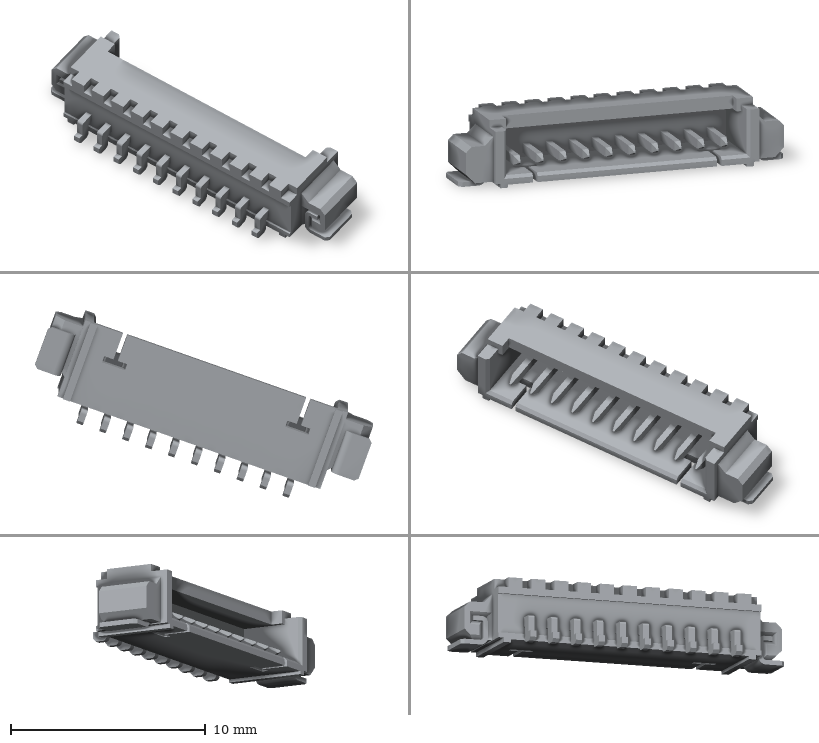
import cadquery as cq


half_length = 7.17
depth = 4.24
height = 3.4
underside = 0.16
end_underside = 0.23
rear_step_height = 3.02
rear_step_depth = 0.95
front_recess = 0.1
front_recess_bottom = 0.5
front_recess_top = 2.55

foot_inner = 6.5
foot_outer = 6.88

cavity_half_length = 6.53
cavity_floor = 0.64
cavity_ceiling = 2.72
front_wall = 0.88
lead_in = 0.16
top_opening_half_length = 6.27
top_opening_depth = 1.59

key_slot_width = 0.25
key_slot_depth = 1.43
key_window_end = 1.76

pin_count = 10
pin_row_length = 11.25
pin_width = 0.34
pin_top = 1.36
pin_thickness = 0.5
pin_shoulder = 3.07
pin_tip = 3.57
pin_tip_width = 0.09
pin_leg_inner = -0.16
pin_leg_outer = -0.69
pin_toe = -0.97
pin_toe_height = 0.51
pin_bend_radius = 0.12
pin_heel_radius = 0.21
pin_toe_chamfer = 0.18

notch_width = 0.5
notch_depth = 0.65
notch_height = 0.51

ear_outer = 8.65
ear_front = 1.05
ear_back = 3.87
ear_top = 2.22
ear_bottom = 0.28
ear_gusset = 0.45
ear_top_chamfer = 0.3
ear_bottom_chamfer = 0.5

clip_thickness = 0.25
clip_length = 2.3
clip_end = 8.82
clip_inner = 7.38
clip_top = 1.5
clip_arm_end = 8.15
clip_top_bend_radius = 0.07
clip_base_bend_radius = 0.16
clip_corner_chamfer = 0.18
clip_slot_lead_in = 0.21

clip_back = ear_front + clip_length
clip_web = clip_inner + clip_thickness
pin_bottom = pin_top - pin_thickness
pitch = pin_row_length / (pin_count - 1)
pin_positions = [(i - (pin_count - 1) / 2) * pitch for i in range(pin_count)]


def box(x_range, y_range, z_range):
    """Box between the given limits along each axis."""
    sizes = [end - start for start, end in (x_range, y_range, z_range)]
    corner = (x_range[0], y_range[0], z_range[0])
    return cq.Workplane("XY").box(*sizes, centered=False).translate(corner)


def both_ends(right_end):
    """The given +X feature together with its mirror image at -X."""
    return right_end.union(right_end.mirror("YZ"))


def end_profile(y):
    """Workplane at depth y whose local axes are X and Z."""
    return cq.Workplane("XZ", origin=(0, y, 0))


def make_shell():
    shell = (
        cq.Workplane("YZ", origin=(-half_length, 0, 0))
        .polyline([
            (0, underside),
            (0, front_recess_bottom),
            (front_recess, front_recess_bottom),
            (front_recess, front_recess_top),
            (0, front_recess_top),
            (0, height),
            (depth - rear_step_depth, height),
            (depth - rear_step_depth, rear_step_height),
            (depth, rear_step_height),
            (depth, underside),
        ])
        .close()
        .extrude(2 * half_length)
    )
    end_relief = box((foot_outer, half_length), (0, depth), (underside, end_underside))
    foot = box((foot_inner, foot_outer), (0, depth), (0, end_underside))
    return shell.cut(both_ends(end_relief)).union(both_ends(foot))


def make_cavity():
    """Plug space with a bevelled rear mouth, open at the top along its rear part."""
    cavity = box(
        (-cavity_half_length, cavity_half_length),
        (front_wall, depth),
        (cavity_floor, cavity_ceiling),
    )
    mouth = (
        end_profile(depth)
        .center(0, (cavity_floor + height) / 2)
        .rect(2 * (cavity_half_length + lead_in), height - cavity_floor + 2 * lead_in)
        .workplane(offset=lead_in)
        .rect(2 * cavity_half_length, height - cavity_floor)
        .loft(ruled=True)
    )
    rear_opening = box(
        (-cavity_half_length, cavity_half_length),
        (depth - rear_step_depth, depth),
        (cavity_floor, height),
    )
    top_opening = box(
        (-top_opening_half_length, top_opening_half_length),
        (depth - top_opening_depth, depth),
        (cavity_floor, height),
    )
    return cavity.union(mouth).union(rear_opening).union(top_opening)


def make_key_slot():
    """T-shaped opening through the floor, midway between the last two pins."""
    centre = pin_positions[-1] - pitch / 2
    slot = box(
        (centre - key_slot_width / 2, centre + key_slot_width / 2),
        (depth - key_window_end, depth),
        (0, cavity_floor),
    )
    window = box(
        (centre - pitch / 2, centre + pitch / 2),
        (depth - key_window_end, depth - key_slot_depth),
        (0, cavity_floor),
    )
    return slot.union(window)


def make_notches():
    """One notch above each pin and an open one at each end of the housing."""
    notches = cq.Workplane("XY")
    z_range = (height - notch_height, height)
    for x in pin_positions:
        notches = notches.union(box((x - notch_width / 2, x + notch_width / 2), (0, notch_depth), z_range))
    corner_start = pin_positions[-1] + pitch - notch_width / 2
    corner = box((corner_start, half_length), (0, notch_depth), z_range)
    return notches.union(both_ends(corner))


def make_slot_section(y, margin):
    """Section of the clip slot at depth y, widened all round by the margin."""
    return end_profile(y).polyline([
        (clip_inner - margin, -margin),
        (clip_inner - margin, clip_top + margin),
        (clip_arm_end + margin, clip_top + margin),
        (clip_arm_end + margin, clip_top - clip_thickness - margin),
        (clip_web + margin, clip_top - clip_thickness - margin),
        (clip_web + margin, ear_bottom + margin),
        (clip_end + margin, ear_bottom + margin),
        (clip_end + margin, -margin),
    ]).close()


def make_ear():
    """Hooked ear whose blind slot, with a bevelled mouth, takes the clip from the front."""
    ear = (
        end_profile(ear_back)
        .polyline([
            (half_length, ear_bottom),
            (half_length, ear_top + ear_gusset),
            (half_length + ear_gusset, ear_top),
            (ear_outer - ear_top_chamfer, ear_top),
            (ear_outer, ear_top - ear_top_chamfer),
            (ear_outer, ear_bottom + ear_bottom_chamfer),
            (ear_outer - ear_bottom_chamfer, ear_bottom),
        ])
        .close()
        .extrude(ear_back - ear_front)
    )
    slot = make_slot_section(clip_back, 0).extrude(clip_length)
    wide_section = make_slot_section(ear_front, clip_slot_lead_in).val()
    narrow_section = make_slot_section(ear_front + clip_slot_lead_in, 0).val()
    slot_mouth = cq.Workplane(cq.Solid.makeLoft([wide_section, narrow_section], True))
    return ear.cut(slot).cut(slot_mouth)


def round_bend(strip, x, z, radius):
    """Round the strip's sharp edge that runs along Y through the given X and Z."""
    edge = strip.edges(cq.selectors.NearestToPointSelector((x, (ear_front + clip_back) / 2, z)))
    return edge.fillet(radius)


def make_clip():
    """Strip bent into a base plate, an upright web and a top arm, all facing outwards."""
    inner_base = (clip_web, clip_thickness)
    inner_top = (clip_web, clip_top - clip_thickness)
    strip = (
        end_profile(clip_back)
        .polyline([
            (clip_end, 0),
            (clip_inner, 0),
            (clip_inner, clip_top),
            (clip_arm_end, clip_top),
            (clip_arm_end, clip_top - clip_thickness),
            inner_top,
            inner_base,
            (clip_end, clip_thickness),
        ])
        .close()
        .extrude(clip_length)
    )

    strip = round_bend(strip, clip_inner, 0, clip_base_bend_radius + clip_thickness)
    strip = round_bend(strip, *inner_base, clip_base_bend_radius)
    strip = round_bend(strip, clip_inner, clip_top, clip_top_bend_radius + clip_thickness)
    strip = round_bend(strip, *inner_top, clip_top_bend_radius)
    return strip.faces(">X").edges("|Z").chamfer(clip_corner_chamfer)


def make_pin():
    """Pin centred on X = 0: a pointed contact, a bent leg and a toe on the board."""
    leg = (
        cq.Workplane("YZ", origin=(-pin_width / 2, 0, 0))
        .moveTo(pin_shoulder, pin_top)
        .lineTo(pin_leg_outer + pin_bend_radius, pin_top)
        .radiusArc((pin_leg_outer, pin_top - pin_bend_radius), -pin_bend_radius)
        .lineTo(pin_leg_outer, pin_toe_height)
        .lineTo(pin_toe, pin_toe_height)
        .lineTo(pin_toe, pin_toe_chamfer)
        .lineTo(pin_toe + pin_toe_chamfer, 0)
        .lineTo(pin_leg_inner - pin_heel_radius, 0)
        .radiusArc((pin_leg_inner, pin_heel_radius), -pin_heel_radius)
        .lineTo(pin_leg_inner, pin_bottom - pin_bend_radius)
        .radiusArc((pin_leg_inner + pin_bend_radius, pin_bottom), pin_bend_radius)
        .lineTo(pin_shoulder, pin_bottom)
        .close()
        .extrude(pin_width)
    )
    point = (
        end_profile(pin_shoulder)
        .center(0, pin_top - pin_thickness / 2)
        .rect(pin_width, pin_thickness)
        .workplane(offset=pin_shoulder - pin_tip)
        .rect(pin_tip_width, pin_tip_width)
        .loft(ruled=True)
    )
    return leg.union(point)


result = make_shell().cut(make_cavity()).cut(both_ends(make_key_slot())).cut(make_notches())
result = result.union(both_ends(make_ear())).union(both_ends(make_clip()))

pin = make_pin()
for x in pin_positions:
    result = result.union(pin.translate((x, 0, 0)))